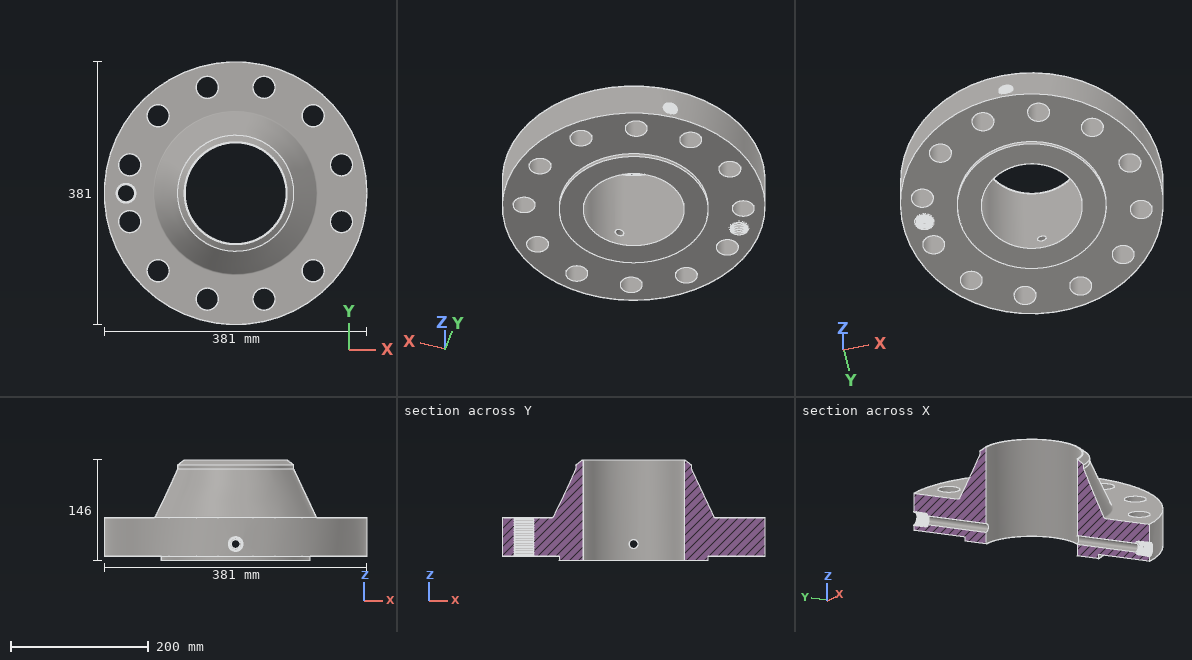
import cadquery as cq
import math

total_height = 146.0
raised_face_height = 6.0
flange_thickness = 56.0
flange_top = raised_face_height + flange_thickness

flange_diameter = 381.0
raised_face_diameter = 216.0
hub_base_diameter = 235.0
weld_end_diameter = 168.5
bore_diameter = 146.3

weld_neck_length = 5.7
weld_land = 1.5
bevel_angle = 37.5
hub_root_fillet = 2.5

bolt_circle_diameter = 317.8
bolt_hole_diameter = 31.5
bolt_hole_count = 12
bolt_pitch_angle = 360.0 / bolt_hole_count

jack_major_diameter = 28.5
jack_minor_diameter = 24.8
jack_thread_pitch = 3.62

tap_height = 24.0
tap_major_diameter = 21.5
tap_thread_height = 1.5
tap_thread_pitch = 1.83
tap_thread_length = 20.2
tap_passage_diameter = 12.5
tap_radius_taper = 1 / 32

cut_clearance = 4.0


def make_body():
    """Revolve the flange, raised face and hub around the Z axis."""
    bore_radius = bore_diameter / 2
    weld_radius = weld_end_diameter / 2
    land_radius = bore_radius + weld_land
    bevel_bottom = total_height - (weld_radius - land_radius) * math.tan(math.radians(bevel_angle))
    profile = [
        (bore_radius, 0),
        (raised_face_diameter / 2, 0),
        (raised_face_diameter / 2, raised_face_height),
        (flange_diameter / 2, raised_face_height),
        (flange_diameter / 2, flange_top),
        (hub_base_diameter / 2, flange_top),
        (weld_radius, bevel_bottom - weld_neck_length),
        (weld_radius, bevel_bottom),
        (land_radius, total_height),
        (bore_radius, total_height),
    ]
    body = cq.Workplane("XZ").polyline(profile).close().revolve(360, (0, 0), (0, 1))
    hub_root = cq.selectors.RadiusNthSelector(0)
    root_height = cq.selectors.BoxSelector(
        (-flange_diameter, -flange_diameter, flange_top - hub_root_fillet),
        (flange_diameter, flange_diameter, flange_top + hub_root_fillet),
    )
    return body.edges("%CIRCLE").edges(root_height).edges(hub_root).fillet(hub_root_fillet)


def thread_cutter(major_radius, thread_height, pitch, length, radius_taper=0.0):
    """Cutter along +Z from z = 0: whole V-shaped turns, as closed rings, covering the length."""
    turns = math.ceil(length / pitch)
    outline = [(0, 0), (major_radius, 0)]
    for turn in range(turns):
        crest = (turn + 0.5) * pitch
        root = (turn + 1) * pitch
        outline.append((major_radius - thread_height - crest * radius_taper, crest))
        outline.append((major_radius - root * radius_taper, root))
    outline.append((0, turns * pitch))
    return cq.Workplane("XZ").polyline(outline).close().revolve(360, (0, 0), (0, 1))


def bolt_holes():
    return (
        cq.Workplane("XY")
        .polarArray(bolt_circle_diameter / 2, bolt_pitch_angle / 2, 360, bolt_hole_count)
        .circle(bolt_hole_diameter / 2)
        .extrude(flange_top + cut_clearance)
    )


def jack_screw_hole():
    """Thread cutter on the -X side, running down from the top of the flange."""
    cutter = thread_cutter(
        jack_major_diameter / 2,
        (jack_major_diameter - jack_minor_diameter) / 2,
        jack_thread_pitch,
        flange_thickness,
    )
    return cutter.rotate((0, 0, 0), (1, 0, 0), 180).translate((-bolt_circle_diameter / 2, 0, flange_top))


def pressure_tap():
    """Tapped passage from the rim at -Y into the bore."""
    thread = thread_cutter(
        tap_major_diameter / 2,
        tap_thread_height,
        tap_thread_pitch,
        tap_thread_length,
        tap_radius_taper,
    )
    passage = cq.Workplane("XY").circle(tap_passage_diameter / 2).extrude(flange_diameter / 2)
    cutter = thread.union(passage)
    return cutter.rotate((0, 0, 0), (1, 0, 0), -90).translate((0, -flange_diameter / 2, tap_height))


result = make_body().cut(bolt_holes()).cut(jack_screw_hole())
for tap_direction in (0, 180):
    result = result.cut(pressure_tap().rotate((0, 0, 0), (0, 0, 1), tap_direction))